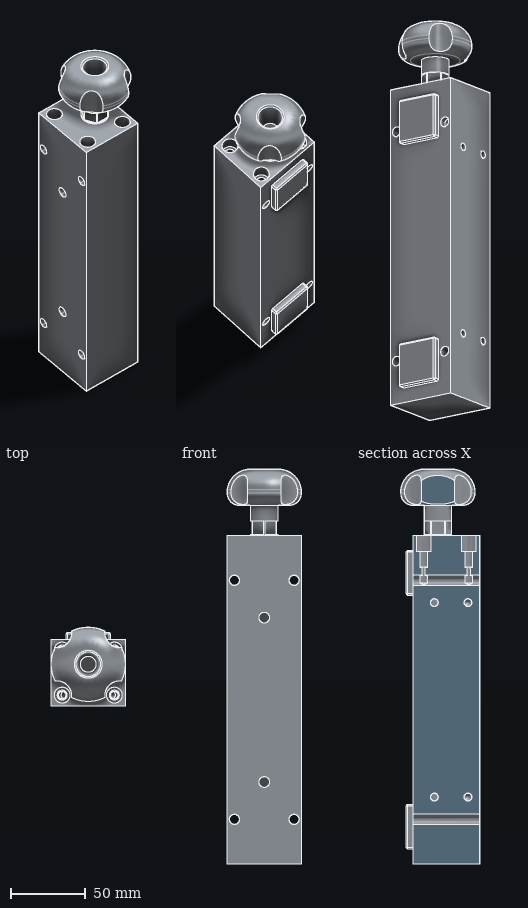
import cadquery as cq
import math

body_width = 50.0
body_depth = 44.7
body_height = 220.0
body_mid_z = body_height / 2
total_height = 264.5

mount_diameter = 6.5
mount_spacing_x = 40.0
mount_spacing_z = 160.0
port_diameter = 7.1
port_spacing_z = 110.0

side_diameter = 5.0
blind_side_y = 8.0
spindle_side_y = 30.5
side_spacing_z = 130.0
blind_side_depth = 6.5
drill_tip_angle = 118

screw_spacing_x = 35.0
screw_y_places = (7.5, 37.5)
counterbore_diameter = 10.5
counterbore_depth = 10.5
screw_diameter = 6.5
screw_depth = 21.2
core_diameter = 5.0
core_depth = 31.7

pad_size = 30.0
pad_thickness = 4.8
pad_end_distance = 25.0
pad_chamfer = 1.0

stem_y = 28.0
spindle_radius = 7.1
stem_radius = 9.3
collar_height = 0.8
hex_across_flats = 16.5
hex_top = 229.5

knob_radius = 24.9
knob_bottom = 240.0
rim_bottom = 248.3
rim_top = 250.6
scallop_radius = 10.0
scallop_distance = 30.0
scallop_count = 4
first_scallop_angle = 45
bore_mouth_radius = 9.3
bore_chamfer = 1.0
bore_floor_radius = 5.3
bore_depth = 18.5


def cylinder(x, y, bottom, radius, height):
    """Upright cylinder standing on z = bottom."""
    return cq.Workplane("XY", origin=(x, y, bottom)).circle(radius).extrude(height)


def drill(diameter, depth):
    """Drill-shaped cutter along -Z from the origin: a cylinder with a conical tip."""
    radius = diameter / 2
    tip_length = radius / math.tan(math.radians(drill_tip_angle / 2))
    return (
        cq.Workplane("XZ")
        .polyline([(0, 0), (radius, 0), (radius, -depth), (0, -depth - tip_length)])
        .close()
        .revolve(360, (0, 0), (0, 1))
    )


def make_body():
    return cq.Workplane("XY").box(body_width, body_depth, body_height, centered=(True, False, False))


def front_holes(spacing_x, spacing_z, columns, diameter, depth):
    """Cutters for two rows of holes entering the front face."""
    return (
        cq.Workplane("XZ", origin=(0, 0, body_mid_z))
        .rarray(spacing_x, spacing_z, columns, 2)
        .circle(diameter / 2)
        .extrude(-depth)
    )


def make_spindle():
    """Round core of the body, left standing at the bottom of the holes that reach it."""
    return cylinder(0, stem_y, 0, spindle_radius, body_height)


def cut_front_holes(body):
    """Corner holes pass through the body; the two ports end on the spindle."""
    mounts = front_holes(mount_spacing_x, mount_spacing_z, 2, mount_diameter, body_depth)
    ports = front_holes(mount_spacing_x, port_spacing_z, 1, port_diameter, stem_y).cut(make_spindle())
    return body.cut(mounts).cut(ports)


def cut_side_holes(body):
    """Front pair of holes is blind with drill tips; the rear pair ends on the spindle."""
    blind_hole = drill(side_diameter, blind_side_depth).rotate((0, 0, 0), (0, 1, 0), -90)
    deep_hole = cq.Workplane("YZ").circle(side_diameter / 2).extrude(body_width / 2)
    spindle = make_spindle()
    for z in (body_mid_z - side_spacing_z / 2, body_mid_z + side_spacing_z / 2):
        body = body.cut(blind_hole.translate((-body_width / 2, blind_side_y, z)))
        body = body.cut(deep_hole.translate((-body_width / 2, spindle_side_y, z)).cut(spindle))
    return body


def cut_screw_holes(body):
    """Stepped holes at the four top corners, narrowing to a drilled core."""
    cutter = (
        drill(core_diameter, core_depth)
        .union(cylinder(0, 0, -screw_depth, screw_diameter / 2, screw_depth))
        .union(cylinder(0, 0, -counterbore_depth, counterbore_diameter / 2, counterbore_depth))
    )
    for x in (-screw_spacing_x / 2, screw_spacing_x / 2):
        for y in screw_y_places:
            body = body.cut(cutter.translate((x, y, body_height)))
    return body


def make_pad(z):
    """Square pad on the back face, with its corners and outer rim bevelled."""
    return (
        cq.Workplane("XY")
        .box(pad_size, pad_thickness, pad_size, centered=(True, False, True))
        .edges("|Y or >Y")
        .chamfer(pad_chamfer)
        .translate((0, body_depth, z))
    )


def make_stem():
    """Round collar, hexagon with rounded corners and round neck up to the knob."""
    collar = cylinder(0, stem_y, body_height, stem_radius, collar_height)
    hex_across_corners = hex_across_flats / math.cos(math.pi / 6)
    hexagon = (
        cq.Workplane("XY", origin=(0, stem_y, body_height))
        .transformed(rotate=(0, 0, 90))
        .polygon(6, hex_across_corners)
        .extrude(hex_top - body_height)
        .intersect(cylinder(0, stem_y, body_height, stem_radius, hex_top - body_height))
    )
    neck = cylinder(0, stem_y, hex_top, stem_radius, knob_bottom - hex_top)
    return collar.union(hexagon).union(neck)


def make_knob():
    """Domed four-lobed knob with a tapered bore open at the top."""
    dome_height = total_height - rim_top
    dome_width = knob_radius - bore_mouth_radius
    dome_arc = (dome_width**2 + dome_height**2) / (2 * dome_height)
    bottom_arc = rim_bottom - knob_bottom
    bore_radius = bore_mouth_radius - bore_chamfer
    knob = (
        cq.Workplane("XZ")
        .moveTo(0, knob_bottom)
        .lineTo(knob_radius - bottom_arc, knob_bottom)
        .radiusArc((knob_radius, rim_bottom), -bottom_arc)
        .lineTo(knob_radius, rim_top)
        .radiusArc((bore_mouth_radius, total_height), -dome_arc)
        .lineTo(bore_radius, total_height - bore_chamfer)
        .lineTo(bore_floor_radius, total_height - bore_depth)
        .lineTo(0, total_height - bore_depth)
        .close()
        .revolve(360, (0, 0), (0, 1))
    )
    scallops = (
        cq.Workplane("XY", origin=(0, 0, knob_bottom))
        .polarArray(scallop_distance, first_scallop_angle, 360, scallop_count)
        .circle(scallop_radius)
        .extrude(total_height - knob_bottom)
    )
    return knob.cut(scallops).translate((0, stem_y, 0))


part = cut_screw_holes(cut_side_holes(cut_front_holes(make_body())))
for pad_z in (pad_end_distance, body_height - pad_end_distance):
    part = part.union(make_pad(pad_z))
part = part.union(make_stem()).union(make_knob())
result = part.solids()